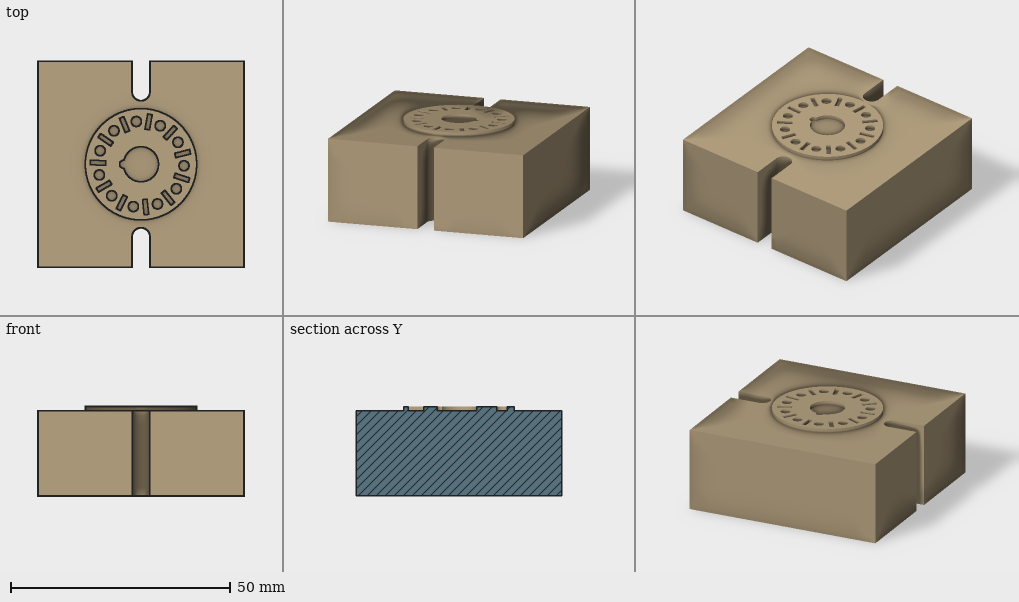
import cadquery as cq
import math

block_side = 47.0
block_height = 19.5

slot_width = 4.0
slot_depth = 9.0

disc_diameter = 25.4
disc_height = 1.0

shaft_diameter = 8.0
key_radius = 0.9
key_center_x = -shaft_diameter / 2

position_count = 11
pitch_angle = 360 / position_count
ring_radius = 9.8
pin_diameter = 2.3
pin_start_angle = -2.0
contact_length = 3.5
contact_width = 1.05
contact_start_angle = pin_start_angle + pitch_angle / 2


def ring_points(start_angle):
    """Angle in degrees and centre of each position around the ring."""
    points = []
    for index in range(position_count):
        angle = start_angle + index * pitch_angle
        x = ring_radius * math.cos(math.radians(angle))
        y = ring_radius * math.sin(math.radians(angle))
        points.append((angle, x, y))
    return points


def make_block():
    return cq.Workplane("XY").box(block_side, block_side, block_height, centered=(True, True, False))


def make_mounting_slot(side):
    """Round-ended slot through the full height; side is +1 (back) or -1 (front)."""
    edge_y = side * block_side / 2
    end_center_y = edge_y - side * (slot_depth - slot_width / 2)
    straight = (
        cq.Workplane("XY")
        .center(0, (edge_y + end_center_y) / 2)
        .rect(slot_width, abs(edge_y - end_center_y))
        .extrude(block_height)
    )
    rounded_end = cq.Workplane("XY").center(0, end_center_y).circle(slot_width / 2).extrude(block_height)
    return straight.union(rounded_end)


def disc_plane():
    """Workplane on the block's top face, where the disc and its openings begin."""
    return cq.Workplane("XY").workplane(offset=block_height)


def make_shaft_opening():
    bore = disc_plane().circle(shaft_diameter / 2).extrude(disc_height)
    key = disc_plane().center(key_center_x, 0).circle(key_radius).extrude(disc_height)
    return bore.union(key)


def make_pin_holes():
    centers = [(x, y) for _, x, y in ring_points(pin_start_angle)]
    return disc_plane().pushPoints(centers).circle(pin_diameter / 2).extrude(disc_height)


def make_contact_slot(angle, x, y):
    return (
        disc_plane()
        .center(x, y)
        .transformed(rotate=(0, 0, angle))
        .rect(contact_length, contact_width)
        .extrude(disc_height)
    )


def make_disc():
    disc = disc_plane().circle(disc_diameter / 2).extrude(disc_height)
    disc = disc.cut(make_shaft_opening())
    disc = disc.cut(make_pin_holes())
    for angle, x, y in ring_points(contact_start_angle):
        disc = disc.cut(make_contact_slot(angle, x, y))
    return disc


block = make_block()
for side in (1, -1):
    block = block.cut(make_mounting_slot(side))

result = block.union(make_disc())